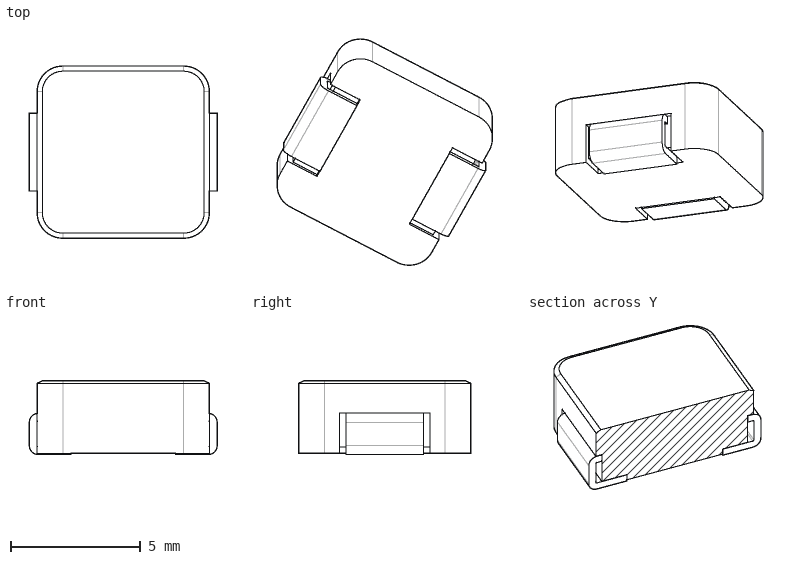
import cadquery as cq

body_side = 6.65
body_corner_radius = 0.99
body_bottom = 0.05
overall_height = 2.85
top_bevel_width = 0.2
top_bevel_drop = 0.1

overall_length = 7.25
strip_width = 3.0
strip_thickness = (overall_length - body_side) / 2
strip_height = 1.595
bend_radius = 0.35
inner_bend_radius = bend_radius - strip_thickness
foot_length = 1.6

recess_side_gap = 0.25
recess_height = 1.6
recess_width = strip_width + 2 * recess_side_gap
recess_depth = 0.255

body_half = body_side / 2
end_x = overall_length / 2
foot_tip_x = end_x - foot_length
recess_floor_x = body_half - recess_depth


def centered_box(half_length, width, z_min, z_max):
    """Box centred on the Z axis, reaching half_length each way along X."""
    return (
        cq.Workplane("XY")
        .workplane(offset=z_min)
        .rect(2 * half_length, width)
        .extrude(z_max - z_min)
    )


def end_pockets(inner_x, width, z_min, z_max):
    """Pair of mirrored cutters, from inner_x out past the housing at both X ends."""
    full_length = centered_box(end_x, width, z_min, z_max)
    middle = centered_box(inner_x, width, z_min, z_max)
    return full_length.cut(middle)


def make_strip():
    """One metal strip through the housing, bent down and tucked under at both ends."""
    envelope = centered_box(end_x, strip_width, 0, strip_height)
    envelope = envelope.edges("|Y").fillet(bend_radius)

    hollow = centered_box(
        end_x - strip_thickness, strip_width, strip_thickness, strip_height - strip_thickness
    )
    hollow = hollow.edges("|Y").fillet(inner_bend_radius)

    gap_between_feet = centered_box(foot_tip_x, strip_width, 0, strip_thickness)
    return envelope.cut(hollow).cut(gap_between_feet)


def make_housing(strip):
    """Rounded block with a bevelled top, end recesses and a passage for the strip."""
    block = centered_box(body_half, body_side, body_bottom, overall_height)
    block = block.edges("|Z").fillet(body_corner_radius)
    block = block.faces(">Z").chamfer(top_bevel_drop, top_bevel_width)

    leg_recesses = end_pockets(recess_floor_x, recess_width, 0, recess_height)
    foot_channels = end_pockets(foot_tip_x, recess_width, 0, strip_thickness)
    return block.cut(leg_recesses).cut(foot_channels).cut(strip)


strip = make_strip()
housing = make_housing(strip)
result = cq.Compound.makeCompound([housing.val(), strip.val()])